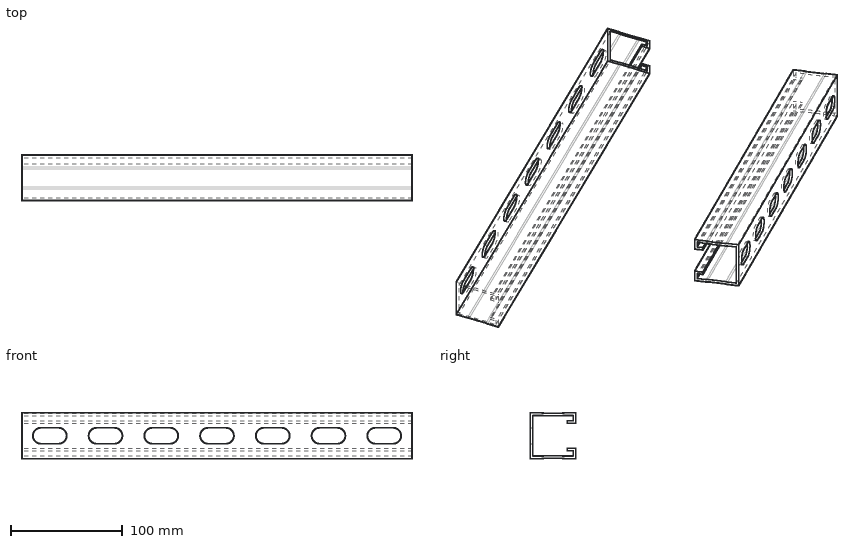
import cadquery as cq

length = 350.0
depth = 41.0
height = 41.3
wall = 2.52

opening = 22.0
lip_length = 7.7

joggle_depth = 0.3
joggle_outer_width = 20.0
joggle_floor_width = 16.0

slot_count = 7
slot_length = 30.0
slot_height = 14.0
slot_pitch = length / slot_count

back = -depth / 2
front = depth / 2


def joggled_edge(z):
    """Points of one flange surface, from back to front, with the middle set in."""
    return [
        (-joggle_outer_width / 2, z),
        (-joggle_floor_width / 2, z - joggle_depth),
        (joggle_floor_width / 2, z - joggle_depth),
        (joggle_outer_width / 2, z),
    ]


def upper_half():
    """Half of the channel above Z = 0, with a section of constant wall thickness."""
    top = height / 2
    lip_bottom = opening / 2
    lip_top = lip_bottom + wall
    lip_end = front - lip_length
    outer = [(back, 0), (back, top), *joggled_edge(top), (front, top)]
    lip = [(front, lip_bottom), (lip_end, lip_bottom), (lip_end, lip_top), (front - wall, lip_top)]
    inner_top = top - wall
    inner = [
        (front - wall, inner_top),
        *reversed(joggled_edge(inner_top)),
        (back + wall, inner_top),
        (back + wall, 0),
    ]
    section = cq.Workplane("YZ").polyline(outer + lip + inner).close()
    return section.extrude(length / 2, both=True)


def back_slots():
    """Evenly spaced round-ended cutters that pass through the back wall only."""
    cutter_depth = 2 * wall
    return (
        cq.Workplane("XZ", origin=(0, back + cutter_depth, 0))
        .rarray(slot_pitch, 3.5, slot_count, 1)
        .slot2D(slot_length, slot_height)
        .extrude(2 * cutter_depth)
    )


half = upper_half()
channel = half.union(half.mirror("XY")).clean()
result = channel.cut(back_slots())